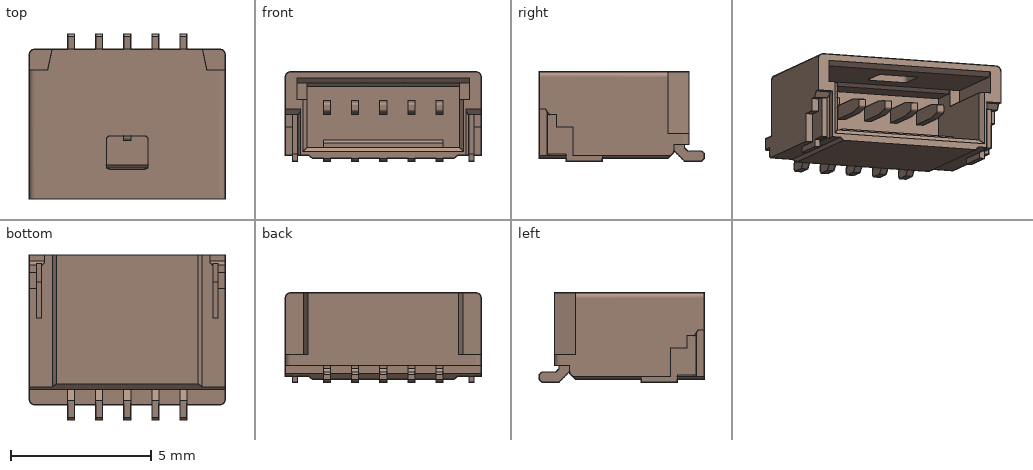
import cadquery as cq

width = 7.0
half_width = width / 2
depth = 5.355
height = 3.2
corner_radius = 0.2

side_bottom = 0.21
belly_bottom = 0.105
belly_half_width = 2.535
belly_slope_run = 0.125
rear_step_y = 4.81
rear_step_z = 0.595
rear_chamfer = 0.2

cutout_front_y = 4.605
cutout_floor = 0.99
cutout_front_x = 2.84
cutout_rear_x = 2.68

cavity_half_width = 2.715
cavity_floor = 0.5
cavity_ceiling = 2.675
cavity_depth = 4.13
lead_in = 0.155
slot_half_width = 3.09
slot_floor = 2.205
slot_ceiling = 2.8
slot_depth = 3.01
slot_lead_in = 0.17

ridge_half_width = 2.13
ridge_front_y = 1.11
ridge_top = 0.755
ridge_bevel = 0.11

window_half_width = 0.75
window_front_y = 1.065
window_rear_y = 2.26
window_radius = 0.15

tab_outer_x = 3.25
tab_inner_x = 3.06
tab_front_y = 0.31
tab_bottom = 0.26
foot_front_y = 0.965
foot_rear_y = 2.26
recess_top = 1.665
recess_mid_y = 0.63
recess_mid_z = 1.22
recess_rear_y = 1.205
relief_inner_x = 2.96
relief_top = 1.87
relief_front_y = 0.225
relief_slope_run = 0.13
relief_chamfer_y = 0.29
relief_chamfer = 0.08

pin_count = 5
pin_pitch = 1.0
pin_width = 0.25
pin_tip_y = 2.1
pin_taper_end_y = 2.695
pin_axis_z = 1.92
pin_half_height = 0.245
pin_tip_half_height = 0.15
pin_tip_radius = 0.085
pin_overlap = 0.28
lead_end_y = 5.9
lead_thickness = 0.37
lead_chamfer = 0.1
lead_heel_y = 5.195
lead_bend = 0.11


def box(x0, x1, y0, y1, z0, z1):
    """Axis-aligned box between two corners."""
    return cq.Workplane("XY").box(x1 - x0, y1 - y0, z1 - z0, centered=False).translate((x0, y0, z0))


def extrude_across(points, x0, x1):
    """Extrude a (y, z) outline along X from x0 to x1."""
    return cq.Workplane("YZ", origin=(x0, 0, 0)).polyline(points).close().extrude(x1 - x0)


def both_sides(solid):
    """A left-hand solid together with its mirror image on the right."""
    return solid.union(solid.mirror("YZ"))


def make_shell():
    shell = box(-half_width, half_width, 0, depth, side_bottom, height)
    shell = shell.edges("|Y and >Z").fillet(corner_radius)
    rounded_plan = box(-half_width, half_width, 0, depth, side_bottom, height)
    rounded_plan = rounded_plan.edges("|Z and >Y").fillet(corner_radius)
    shell = shell.intersect(rounded_plan)
    slope_top_x = belly_half_width + belly_slope_run
    belly = (
        cq.Workplane("XZ")
        .polyline([
            (-slope_top_x, side_bottom),
            (-belly_half_width, belly_bottom),
            (belly_half_width, belly_bottom),
            (slope_top_x, side_bottom),
        ])
        .close()
        .extrude(-depth)
    )
    rear_undercut = extrude_across(
        [
            (depth, rear_step_z),
            (rear_step_y, rear_step_z),
            (rear_step_y, belly_bottom + rear_chamfer),
            (rear_step_y - rear_chamfer, belly_bottom),
            (depth, belly_bottom),
        ],
        -half_width,
        half_width,
    )
    corner_cutout = (
        cq.Workplane("XY", origin=(0, 0, cutout_floor))
        .polyline([
            (-half_width, cutout_front_y),
            (-cutout_front_x, cutout_front_y),
            (-cutout_rear_x, depth),
            (-half_width, depth),
        ])
        .close()
        .extrude(height - cutout_floor)
    )
    return shell.union(belly).cut(rear_undercut).cut(both_sides(corner_cutout))


def make_cavity():
    cavity = box(-cavity_half_width, cavity_half_width, 0, cavity_depth, cavity_floor, cavity_ceiling)
    flare = (
        cq.Workplane("XZ")
        .rect(2 * (cavity_half_width + lead_in), cavity_ceiling - cavity_floor + 2 * lead_in)
        .workplane(offset=-lead_in)
        .rect(2 * cavity_half_width, cavity_ceiling - cavity_floor)
        .loft(ruled=True)
        .translate((0, 0, (cavity_floor + cavity_ceiling) / 2))
    )
    slot = extrude_across(
        [
            (0, slot_floor),
            (slot_depth, slot_floor),
            (slot_depth, slot_ceiling),
            (slot_lead_in, slot_ceiling),
            (0, slot_ceiling + slot_lead_in),
        ],
        -slot_half_width,
        slot_half_width,
    )
    ramp_end_y = slot_depth + slot_ceiling - cavity_ceiling
    ceiling_ramp = extrude_across(
        [
            (slot_depth, slot_ceiling),
            (ramp_end_y, cavity_ceiling),
            (slot_depth, cavity_ceiling),
        ],
        -cavity_half_width,
        cavity_half_width,
    )
    return cavity.union(flare).union(slot).union(ceiling_ramp)


def make_window():
    window = box(-window_half_width, window_half_width, window_front_y, window_rear_y, cavity_ceiling, height)
    return window.edges("|Z").fillet(window_radius)


def make_ridge():
    return extrude_across(
        [
            (ridge_front_y, cavity_floor),
            (ridge_front_y, ridge_top - ridge_bevel),
            (ridge_front_y + ridge_bevel, ridge_top),
            (cavity_depth, ridge_top),
            (cavity_depth, cavity_floor),
        ],
        -ridge_half_width,
        ridge_half_width,
    )


def make_side_recess():
    """Stepped pocket for a tab, with a deeper relief that narrows toward the tab."""
    slope_end_y = relief_front_y + relief_slope_run
    pocket = extrude_across(
        [
            (0, belly_bottom),
            (0, relief_top),
            (relief_front_y, relief_top),
            (slope_end_y, recess_top),
            (recess_mid_y, recess_top),
            (recess_mid_y, recess_mid_z),
            (recess_rear_y, recess_mid_z),
            (recess_rear_y, belly_bottom),
        ],
        -half_width,
        -relief_inner_x,
    )
    plan = (
        cq.Workplane("XY")
        .polyline([
            (-half_width, 0),
            (-relief_inner_x, 0),
            (-relief_inner_x, relief_chamfer_y),
            (-relief_inner_x - relief_chamfer, relief_chamfer_y + relief_chamfer),
            (-tab_inner_x, relief_chamfer_y + relief_chamfer),
            (-tab_inner_x, recess_rear_y),
            (-half_width, recess_rear_y),
        ])
        .close()
        .extrude(height)
    )
    return pocket.intersect(plan)


def make_tab():
    """Hold-down tab filling the inner part of the side recess, with a foot on the board."""
    return extrude_across(
        [
            (tab_front_y, tab_bottom),
            (tab_front_y, recess_top),
            (recess_mid_y, recess_top),
            (recess_mid_y, recess_mid_z),
            (foot_rear_y, recess_mid_z),
            (foot_rear_y, 0),
            (foot_front_y, 0),
            (foot_front_y, tab_bottom),
        ],
        -tab_outer_x,
        -tab_inner_x,
    )


def make_pin_parts():
    """Tapered contact blade and bent solder lead, both centred on X = 0 and anchored in the housing."""
    blade_end_y = cavity_depth + pin_overlap
    blade = extrude_across(
        [
            (pin_tip_y, pin_axis_z - pin_tip_half_height),
            (pin_tip_y, pin_axis_z + pin_tip_half_height),
            (pin_taper_end_y, pin_axis_z + pin_half_height),
            (blade_end_y, pin_axis_z + pin_half_height),
            (blade_end_y, pin_axis_z - pin_half_height),
            (pin_taper_end_y, pin_axis_z - pin_half_height),
        ],
        -pin_width / 2,
        pin_width / 2,
    )
    blade = blade.edges("|X and <Y").fillet(pin_tip_radius)
    heel_rise = lead_heel_y - rear_step_y
    lead = extrude_across(
        [
            (lead_heel_y, 0),
            (lead_end_y - lead_chamfer, 0),
            (lead_end_y, lead_chamfer),
            (lead_end_y, lead_thickness - lead_chamfer),
            (lead_end_y - lead_chamfer, lead_thickness),
            (lead_heel_y + lead_bend, lead_thickness),
            (lead_heel_y, lead_thickness + lead_bend),
            (lead_heel_y, rear_step_z + pin_overlap),
            (rear_step_y, rear_step_z + pin_overlap),
            (rear_step_y, heel_rise),
        ],
        -pin_width / 2,
        pin_width / 2,
    )
    return blade, lead


connector = make_shell().cut(make_cavity()).cut(make_window()).union(make_ridge())
connector = connector.cut(both_sides(make_side_recess())).union(both_sides(make_tab()))

blade, lead = make_pin_parts()
for index in range(pin_count):
    pin_x = (index - (pin_count - 1) / 2) * pin_pitch
    connector = connector.union(blade.translate((pin_x, 0, 0))).union(lead.translate((pin_x, 0, 0)))

result = connector